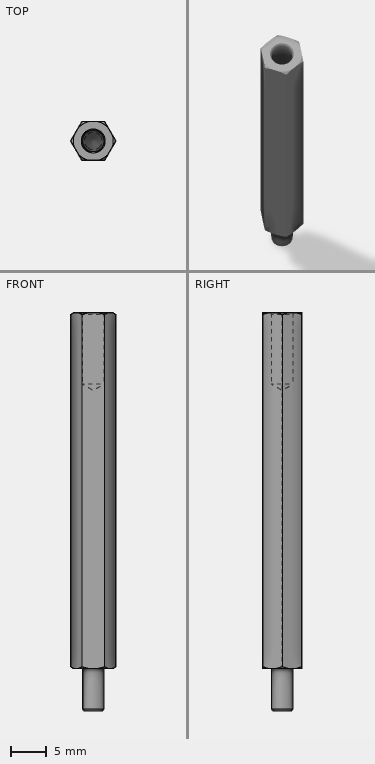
import cadquery as cq
import math

total_length = 56.0
stud_length = 6.0
across_flats = 5.5
across_corners = 6.4
stud_diameter = 3.0
stud_chamfer = 0.3
hole_diameter = 3.0
hole_mouth_diameter = 3.35
hole_mouth_depth = 0.3
hole_depth = 10.0
drill_tip_angle = 118.0
face_circle_diameter = 5.6
corner_chamfer_height = 0.3

body_length = total_length - stud_length


def hex_body():
    """Hexagonal bar, corners along X, with its corners turned off at both ends."""
    half_flats = across_flats / 2
    corners = [
        (across_corners / 2, 0),
        (across_corners / 4, half_flats),
        (-across_corners / 4, half_flats),
        (-across_corners / 2, 0),
        (-across_corners / 4, -half_flats),
        (across_corners / 4, -half_flats),
    ]
    bar = (
        cq.Workplane("XY")
        .workplane(offset=stud_length)
        .polyline(corners)
        .close()
        .extrude(body_length)
    )
    face_radius = face_circle_diameter / 2
    corner_radius = across_corners / 2
    turned_envelope = (
        cq.Workplane("XZ")
        .moveTo(0, stud_length)
        .lineTo(face_radius, stud_length)
        .lineTo(corner_radius, stud_length + corner_chamfer_height)
        .lineTo(corner_radius, total_length - corner_chamfer_height)
        .lineTo(face_radius, total_length)
        .lineTo(0, total_length)
        .close()
        .revolve(360, (0, 0, 0), (0, 1, 0))
    )
    return bar.intersect(turned_envelope)


def stud():
    """Round stud at the lower end with a chamfered tip."""
    return (
        cq.Workplane("XY")
        .circle(stud_diameter / 2)
        .extrude(stud_length)
        .faces("<Z")
        .chamfer(stud_chamfer)
    )


def tapping_hole():
    """Blind hole from the top: countersunk mouth and conical drill tip."""
    radius = hole_diameter / 2
    mouth_radius = hole_mouth_diameter / 2
    floor = total_length - hole_depth
    tip = floor - radius / math.tan(math.radians(drill_tip_angle / 2))
    return (
        cq.Workplane("XZ")
        .moveTo(0, tip)
        .lineTo(radius, floor)
        .lineTo(radius, total_length - hole_mouth_depth)
        .lineTo(mouth_radius, total_length)
        .lineTo(0, total_length)
        .close()
        .revolve(360, (0, 0, 0), (0, 1, 0))
    )


result = hex_body().union(stud()).cut(tapping_hole())